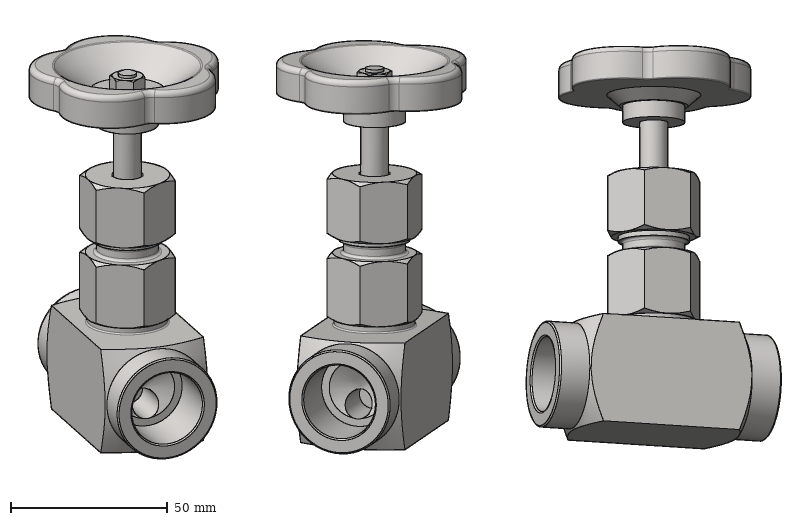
import cadquery as cq
import math

BODY_SIDE = 35.0
BODY_LENGTH = 55.0
PORT_SPAN = 75.0
PORT_DIAMETER = 34.0
PORT_CHAMFER = 0.5
CORNER_CHAMFER_ANGLE = 30.0
BORE_DIAMETER = 24.1
BORE_CHAMFER = 0.5
BORE_DEPTH = 19.5
DRILL_DIAMETER = 19.0
DRILL_POINT_ANGLE = 130.0
SEAT_HOLE_DIAMETER = 9.0
SEAT_HOLE_DROP = 5.1
SEAT_HOLE_WEB = 3.6

NUT_FLATS = 27.0
NUT_CHAMFER_ANGLE = 30.0
BASE_COLLAR_DIAMETER = 26.0
BASE_COLLAR_FILLET = 0.5
LOWER_NUT_BOTTOM = 37.2
LOWER_NUT_TOP = 58.6
NECK_DIAMETER = 20.0
NECK_FLARE = 1.0
UPPER_COLLAR_DIAMETER = 22.9
UPPER_COLLAR_BOTTOM = 62.9
UPPER_NUT_BOTTOM = 64.5
UPPER_NUT_TOP = 84.6

STEM_DIAMETER = 9.0
STEM_HOLE_DIAMETER = 10.0
STEM_HOLE_DEPTH = 4.9

WHEEL_TOP = 121.6
WHEEL_THICKNESS = 11.0
HUB_DIAMETER = 20.0
HUB_BOTTOM = 101.8
HUB_TOP = 107.1
CONE_BOTTOM_DIAMETER = 21.9
CONE_TOP_DIAMETER = 30.2
LOBE_COUNT = 5
LOBE_RADIUS = 16.7
LOBE_OFFSET = 14.8
FIRST_LOBE_ANGLE = 31.0
VALLEY_FILLET = 3.9
WHEEL_FILLET = 2.0
WHEEL_BOTTOM_FILLET = 0.4
DISH_RIM_DIAMETER = 47.4
DISH_FLOOR_DIAMETER = 24.1
DISH_DEPTH = 8.4
DISH_RIM_FILLET = 1.0

WHEEL_NUT_FLATS = 10.0
WHEEL_NUT_HEIGHT = 5.0
STEM_END_DIAMETER = 6.0
STEM_END_HEIGHT = 6.0

AXIS_HEIGHT = BODY_SIDE / 2
WHEEL_BOTTOM = WHEEL_TOP - WHEEL_THICKNESS
DISH_FLOOR = WHEEL_TOP - DISH_DEPTH


def cylinder(diameter, bottom, top):
    """Upright cylinder on the stem axis."""
    return cq.Workplane("XY").workplane(offset=bottom).circle(diameter / 2).extrude(top - bottom)


def turned(points, start, end):
    """Solid of revolution from a profile, about the line from start to end."""
    return cq.Workplane("XZ").polyline(points).close().revolve(360, start, end)


def turned_about_stem(points):
    return turned(points, (0, 0), (0, 1))


def turned_about_bore(points):
    """Revolve (x, radius) points about the horizontal bore axis."""
    placed = [(x, AXIS_HEIGHT + radius) for x, radius in points]
    return turned(placed, (0, AXIS_HEIGHT), (1, AXIS_HEIGHT))


def hex_nut(flats, bottom, top, chamfer_bottom=True):
    """Hexagon with corners on X, its corners turned off by cones touching the flats."""
    corner_radius = flats / math.sqrt(3)
    flat_radius = flats / 2
    drop = (corner_radius - flat_radius) * math.tan(math.radians(NUT_CHAMFER_ANGLE))
    prism = cq.Workplane("XY").workplane(offset=bottom).polygon(6, 2 * corner_radius).extrude(top - bottom)
    lower_points = [(0, bottom), (corner_radius, bottom)]
    if chamfer_bottom:
        lower_points = [(0, bottom), (flat_radius, bottom), (corner_radius, bottom + drop)]
    upper_points = [(corner_radius, top - drop), (flat_radius, top), (0, top)]
    return prism.intersect(turned_about_stem(lower_points + upper_points))


def body_block():
    """Square block whose end corners are turned off by cones starting at the port diameter."""
    half = BODY_LENGTH / 2
    port_radius = PORT_DIAMETER / 2
    corner_radius = BODY_SIDE / math.sqrt(2)
    setback = (corner_radius - port_radius) * math.tan(math.radians(CORNER_CHAMFER_ANGLE))
    block = cq.Workplane("XY").box(BODY_LENGTH, BODY_SIDE, BODY_SIDE).translate((0, 0, AXIS_HEIGHT))
    envelope = turned_about_bore([
        (-half, 0),
        (-half, port_radius),
        (-half + setback, corner_radius),
        (half - setback, corner_radius),
        (half, port_radius),
        (half, 0),
    ])
    return block.intersect(envelope)


def ports():
    bar = cq.Workplane("YZ").center(0, AXIS_HEIGHT).circle(PORT_DIAMETER / 2).extrude(PORT_SPAN / 2, both=True)
    return bar.faces("<X or >X").chamfer(PORT_CHAMFER)


def left_bore():
    """Chamfered bore with a flat shoulder, a drill point and an offset seat hole."""
    mouth = -PORT_SPAN / 2
    shoulder = mouth + BORE_DEPTH
    bore_radius = BORE_DIAMETER / 2
    drill_radius = DRILL_DIAMETER / 2
    tip = shoulder + drill_radius / math.tan(math.radians(DRILL_POINT_ANGLE / 2))
    bore = turned_about_bore([
        (mouth, 0),
        (mouth, bore_radius + BORE_CHAMFER),
        (mouth + BORE_CHAMFER, bore_radius),
        (shoulder, bore_radius),
        (shoulder, drill_radius),
        (tip, 0),
    ])
    seat_hole = (
        cq.Workplane("YZ")
        .workplane(offset=shoulder)
        .center(0, AXIS_HEIGHT - SEAT_HOLE_DROP)
        .circle(SEAT_HOLE_DIAMETER / 2)
        .extrude(-shoulder - SEAT_HOLE_WEB / 2)
    )
    return bore.union(seat_hole)


def valve_body():
    bore = left_bore()
    return body_block().union(ports()).cut(bore).cut(bore.mirror("YZ"))


def neck():
    """Waisted neck between the lower nut and the upper collar."""
    radius = NECK_DIAMETER / 2
    return (
        cq.Workplane("XZ")
        .moveTo(0, LOWER_NUT_TOP)
        .lineTo(radius + NECK_FLARE, LOWER_NUT_TOP)
        .radiusArc((radius, LOWER_NUT_TOP + NECK_FLARE), NECK_FLARE)
        .lineTo(radius, UPPER_COLLAR_BOTTOM - NECK_FLARE)
        .radiusArc((radius + NECK_FLARE, UPPER_COLLAR_BOTTOM), NECK_FLARE)
        .lineTo(0, UPPER_COLLAR_BOTTOM)
        .close()
        .revolve(360, (0, 0), (0, 1))
    )


def base_collar():
    """Collar on the block, flared where it meets the top face."""
    radius = BASE_COLLAR_DIAMETER / 2
    return (
        cq.Workplane("XZ")
        .moveTo(0, BODY_SIDE)
        .lineTo(radius + BASE_COLLAR_FILLET, BODY_SIDE)
        .radiusArc((radius, BODY_SIDE + BASE_COLLAR_FILLET), BASE_COLLAR_FILLET)
        .lineTo(radius, LOWER_NUT_BOTTOM)
        .lineTo(0, LOWER_NUT_BOTTOM)
        .close()
        .revolve(360, (0, 0), (0, 1))
    )


def bonnet():
    upper_nut = hex_nut(NUT_FLATS, UPPER_NUT_BOTTOM, UPPER_NUT_TOP)
    stem_hole = cylinder(STEM_HOLE_DIAMETER, UPPER_NUT_TOP - STEM_HOLE_DEPTH, UPPER_NUT_TOP)
    return (
        base_collar()
        .union(hex_nut(NUT_FLATS, LOWER_NUT_BOTTOM, LOWER_NUT_TOP))
        .union(neck())
        .union(cylinder(UPPER_COLLAR_DIAMETER, UPPER_COLLAR_BOTTOM, UPPER_NUT_BOTTOM))
        .union(upper_nut.cut(stem_hole))
    )


def wheel_rim():
    """Five-lobed disc with blended valleys and rounded top and bottom edges."""
    rim = cylinder(2 * LOBE_OFFSET, WHEEL_BOTTOM, WHEEL_TOP)
    for index in range(LOBE_COUNT):
        angle = math.radians(FIRST_LOBE_ANGLE + index * 360 / LOBE_COUNT)
        center = (LOBE_OFFSET * math.cos(angle), LOBE_OFFSET * math.sin(angle), 0)
        rim = rim.union(cylinder(2 * LOBE_RADIUS, WHEEL_BOTTOM, WHEEL_TOP).translate(center))
    rim = rim.clean().edges("|Z").fillet(VALLEY_FILLET)
    rim = rim.faces(">Z").edges().fillet(WHEEL_FILLET)
    return rim.faces("<Z").edges().fillet(WHEEL_BOTTOM_FILLET)


def handwheel():
    """Dished wheel on a cone and hub."""
    dish = turned_about_stem([
        (0, DISH_FLOOR),
        (DISH_FLOOR_DIAMETER / 2, DISH_FLOOR),
        (DISH_RIM_DIAMETER / 2, WHEEL_TOP),
        (0, WHEEL_TOP),
    ])
    hub_cone = turned_about_stem([
        (0, HUB_TOP),
        (CONE_BOTTOM_DIAMETER / 2, HUB_TOP),
        (CONE_TOP_DIAMETER / 2, WHEEL_BOTTOM),
        (0, WHEEL_BOTTOM),
    ])
    rim = wheel_rim().cut(dish)
    rim = rim.edges(cq.selectors.RadiusNthSelector(-1)).fillet(DISH_RIM_FILLET)
    return rim.union(hub_cone).union(cylinder(HUB_DIAMETER, HUB_BOTTOM, HUB_TOP))


def stem():
    """Stem below the wheel, and the nut and threaded end that hold the wheel."""
    nut_top = DISH_FLOOR + WHEEL_NUT_HEIGHT
    return (
        cylinder(STEM_DIAMETER, UPPER_NUT_TOP - STEM_HOLE_DEPTH, HUB_BOTTOM)
        .union(hex_nut(WHEEL_NUT_FLATS, DISH_FLOOR, nut_top, chamfer_bottom=False))
        .union(cylinder(STEM_END_DIAMETER, DISH_FLOOR, DISH_FLOOR + STEM_END_HEIGHT))
    )


result = valve_body().union(bonnet()).union(handwheel()).union(stem())